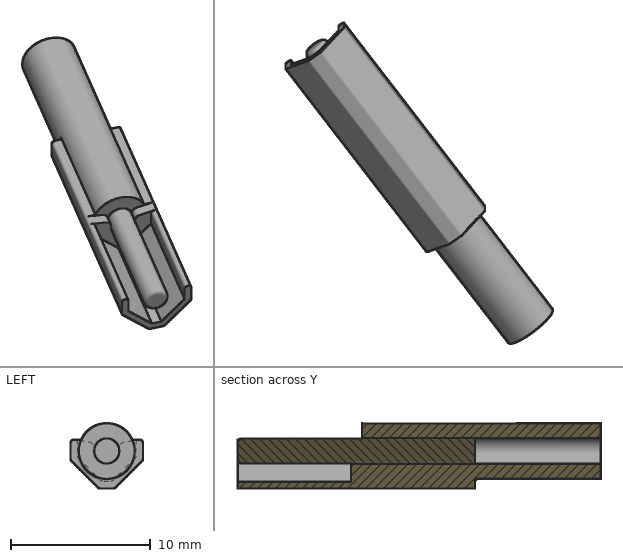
import cadquery as cq
import math


housing_start = 9.0
barrel_end = 17.1
saddle_length = 0.8
total_length = 26.0
pocket_start = barrel_end + saddle_length

barrel_radius = 2.0
weld_radius = 0.2
pin_radius = 0.9
pin_start = housing_start
pin_tip_fillet = 0.3

housing_width = 5.2
housing_top = 0.82
housing_bottom = -2.69
bottom_flat_width = 1.12
wall = 0.5
edge_radius = wall / 2
half_width = housing_width / 2
half_flat = bottom_flat_width / 2
flank_angle = 45
knee_z = housing_bottom + half_width - half_flat

trough_radius = 12.0
trough_half_width = half_width - edge_radius
slot_lip_radius = 0.45

overshoot = 1.0


def section(x):
    """Sketch plane across the part at station x: local x is Y, local y is Z."""
    return cq.Workplane("YZ", origin=(x, 0, 0))


def make_housing_block():
    """Trough-shaped prism with 45 degree lower flanks and rounded long edges."""
    outline = [
        (half_width, housing_top),
        (half_width, knee_z),
        (half_flat, housing_bottom),
        (-half_flat, housing_bottom),
        (-half_width, knee_z),
        (-half_width, housing_top),
    ]
    block = section(housing_start).polyline(outline).close().extrude(total_length - housing_start)
    return block.edges("|X").fillet(edge_radius)


def make_weld():
    """Concave ring fillet around the barrel, cut off level with the housing top."""
    arc_shift = weld_radius * (1 - math.sqrt(0.5))
    ring = (
        cq.Workplane("XY")
        .moveTo(housing_start - weld_radius, barrel_radius)
        .threePointArc(
            (housing_start - arc_shift, barrel_radius + arc_shift),
            (housing_start, barrel_radius + weld_radius),
        )
        .lineTo(housing_start, pin_radius)
        .lineTo(housing_start - weld_radius, pin_radius)
        .close()
        .revolve(360, (0, 0, 0), (1, 0, 0))
    )
    below_top = section(0).rect(2 * housing_width, 2 * housing_width).extrude(total_length)
    below_top = below_top.translate((0, 0, housing_top - housing_width))
    return ring.intersect(below_top)


def make_pocket():
    """Open pocket around the pin, parallel to the outer walls, with rounded rims."""
    side = half_width - wall
    corner_shift = wall * math.tan(math.radians(flank_angle / 2))
    floor_z = housing_bottom + wall
    floor_half = half_flat - corner_shift
    rim = side + edge_radius
    rim_base = housing_top - edge_radius
    arc_y = rim - edge_radius * math.sqrt(0.5)
    arc_z = rim_base + edge_radius * math.sqrt(0.5)
    return (
        section(pocket_start)
        .moveTo(-rim, housing_top)
        .threePointArc((-arc_y, arc_z), (-side, rim_base))
        .lineTo(-side, knee_z + corner_shift)
        .lineTo(-floor_half, floor_z)
        .lineTo(floor_half, floor_z)
        .lineTo(side, knee_z + corner_shift)
        .lineTo(side, rim_base)
        .threePointArc((arc_y, arc_z), (rim, housing_top))
        .lineTo(rim, housing_top + overshoot)
        .lineTo(-rim, housing_top + overshoot)
        .close()
        .extrude(total_length - pocket_start)
    )


def make_saddle_cut():
    """Shallow curved trough over the saddle, with a round-lipped slot for the pin."""
    trough_centre_z = housing_top + math.sqrt(trough_radius**2 - trough_half_width**2)
    trough_bottom = trough_centre_z - trough_radius

    lip_y = pin_radius + slot_lip_radius
    lip_z = trough_centre_z - math.sqrt((trough_radius + slot_lip_radius) ** 2 - lip_y**2)
    touch = trough_radius / (trough_radius + slot_lip_radius)
    lip_outer = (lip_y * touch, trough_centre_z + (lip_z - trough_centre_z) * touch)
    lip_middle = (lip_y - slot_lip_radius * math.sqrt(0.5), lip_z + slot_lip_radius * math.sqrt(0.5))

    trough = (
        section(barrel_end)
        .moveTo(-trough_half_width, housing_top)
        .threePointArc((0, trough_bottom), (trough_half_width, housing_top))
        .lineTo(trough_half_width, housing_top + overshoot)
        .lineTo(-trough_half_width, housing_top + overshoot)
        .close()
        .extrude(saddle_length)
    )
    slot = (
        section(barrel_end)
        .moveTo(-pin_radius, 0)
        .threePointArc((0, -pin_radius), (pin_radius, 0))
        .lineTo(pin_radius, lip_z)
        .threePointArc(lip_middle, lip_outer)
        .lineTo(lip_outer[0], housing_top + overshoot)
        .lineTo(-lip_outer[0], housing_top + overshoot)
        .lineTo(-lip_outer[0], lip_outer[1])
        .threePointArc((-lip_middle[0], lip_middle[1]), (-pin_radius, lip_z))
        .close()
        .extrude(saddle_length)
    )
    return trough.union(slot)


def make_housing():
    """Housing with its barrel: one body, bored right through for the pin."""
    barrel = section(0).circle(barrel_radius).extrude(barrel_end)
    bore = section(0).circle(pin_radius).extrude(barrel_end)
    body = make_housing_block().cut(make_pocket()).cut(make_saddle_cut())
    return body.union(barrel).union(make_weld()).cut(bore)


def make_pin():
    """Round pin that fills the inner part of the bore and ends in a rounded tip."""
    pin = section(pin_start).circle(pin_radius).extrude(total_length - pin_start)
    return pin.faces(">X").edges().fillet(pin_tip_fillet)


housing = make_housing()
pin = make_pin()

result = cq.Compound.makeCompound([housing.solids().val(), pin.solids().val()])